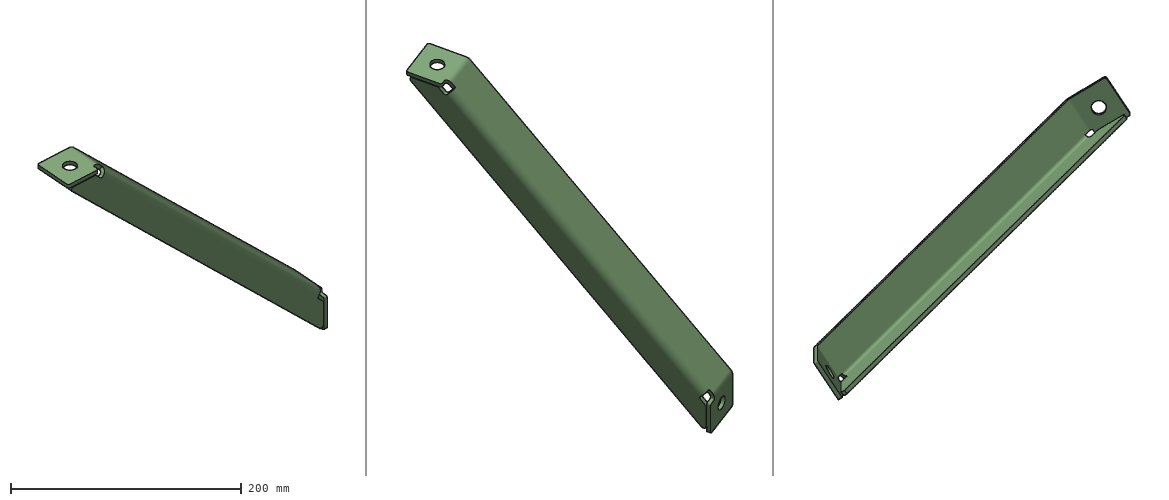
import cadquery as cq
import math

WIDTH = 41.0
SPAN = 300.0
THICKNESS = 4.0

INNER_RADIUS = 3.0
OUTER_RADIUS = INNER_RADIUS + THICKNESS

TAB_LENGTH = 40.0
TAB_CORNER_RADIUS = 2.0
TAB_ROOT_RADIUS = 1.2
HOLE_DIAMETER = 13.0
HOLE_FROM_TAB_END = 20.0

FLANGE_DEPTH = 31.5
FLANGE_END_SETBACK = 4.0
FLANGE_CORNER_RADIUS = 2.0
FLANGE_GAP = 0.8

RELIEF_TAB_START = 35.2
RELIEF_STRAP_END = 7.2
RELIEF_DEPTH = 9.2
RELIEF_CORNER_RADIUS = 2.0

STRAP_SLOPE = math.radians(45)
STRAP_LENGTH = (SPAN - TAB_LENGTH) / math.cos(STRAP_SLOPE)
BEND_START_X = WIDTH - OUTER_RADIUS


def strap_plane(distance):
    """Plane across the strap: local x is +X, local y points out of the outer face."""
    along = distance * math.cos(STRAP_SLOPE)
    return cq.Plane(
        origin=(0, TAB_LENGTH + along, SPAN - along), xDir=(1, 0, 0), normal=(0, -1, 1)
    )


def strap_point(distance, depth):
    """(y, z) at a distance down the strap from its upper corner and a depth below its outer face."""
    y = TAB_LENGTH + (distance - depth) * math.cos(STRAP_SLOPE)
    z = SPAN - (distance + depth) * math.sin(STRAP_SLOPE)
    return y, z


def with_mirror_image(upper_points):
    """Continue (y, z) points of the upper half with their mirror images in the plane y = z."""
    return upper_points + [(z, y) for y, z in reversed(upper_points)]


def swapped_y_and_z(body):
    """Mirror image of a body in the plane y = z."""
    return body.mirror("XY").rotate((0, 0, 0), (1, 0, 0), 90)


def bent_line(offset):
    """Corner points of the tab-strap-tab line at an offset inside the outer faces."""
    corner_y = TAB_LENGTH - offset * math.tan(STRAP_SLOPE / 2)
    return with_mirror_image([(0, SPAN - offset), (corner_y, SPAN - offset)])


def round_corners(body, corners, radius):
    """Round the edges along X that pass through the given (y, z) corners."""
    for y, z in corners:
        nearest = cq.selectors.NearestToPointSelector((body.val().Center().x, y, z))
        body = body.edges("|X").edges(nearest).fillet(radius)
    return body


def make_strap():
    """Sloping strap with both tabs, reaching in X to the start of the flange bend."""
    outer = bent_line(0)
    inner = bent_line(THICKNESS)
    strap = cq.Workplane("YZ").polyline(outer + inner[::-1]).close().extrude(BEND_START_X)
    strap = round_corners(strap, outer[1:-1], OUTER_RADIUS)
    return round_corners(strap, inner[1:-1], INNER_RADIUS)


def make_tab_edge():
    """Strip that widens the upper tab to the full width, rounded at both ends of its relief edge."""
    return (
        cq.Workplane("XY", origin=(0, 0, SPAN - THICKNESS))
        .moveTo(BEND_START_X, 0)
        .lineTo(WIDTH, 0)
        .lineTo(WIDTH, RELIEF_TAB_START - TAB_CORNER_RADIUS)
        .tangentArcPoint((WIDTH - TAB_CORNER_RADIUS, RELIEF_TAB_START), relative=False)
        .lineTo(BEND_START_X + TAB_ROOT_RADIUS, RELIEF_TAB_START)
        .tangentArcPoint((BEND_START_X, RELIEF_TAB_START + TAB_ROOT_RADIUS), relative=False)
        .close()
        .extrude(THICKNESS)
    )


def make_hole():
    """Cutter for the hole through the upper tab."""
    return (
        cq.Workplane("XY", origin=(WIDTH / 2, HOLE_FROM_TAB_END, SPAN - THICKNESS))
        .circle(HOLE_DIAMETER / 2)
        .extrude(THICKNESS)
    )


def make_flange_bend():
    """Quarter bend between the reliefs, from the strap down to the flange web."""
    outer_tangent = BEND_START_X, 0
    web_outer = WIDTH, -OUTER_RADIUS
    web_inner = WIDTH - THICKNESS, -OUTER_RADIUS
    inner_tangent = BEND_START_X, -THICKNESS

    def arc_middle(radius):
        diagonal_step = radius * math.cos(math.radians(45))
        return BEND_START_X + diagonal_step, diagonal_step - OUTER_RADIUS

    return (
        cq.Workplane(strap_plane(STRAP_LENGTH - RELIEF_STRAP_END))
        .moveTo(*outer_tangent)
        .threePointArc(arc_middle(OUTER_RADIUS), web_outer)
        .lineTo(*web_inner)
        .threePointArc(arc_middle(INNER_RADIUS), inner_tangent)
        .close()
        .extrude(STRAP_LENGTH - 2 * RELIEF_STRAP_END)
    )


def make_flange_web():
    """Flat web of the flange, with the reliefs stepped into its upper edge."""
    web_top = SPAN - THICKNESS - FLANGE_GAP
    edge_sum = TAB_LENGTH + SPAN - FLANGE_DEPTH / math.cos(STRAP_SLOPE)
    relief_sum = TAB_LENGTH + SPAN - RELIEF_DEPTH / math.cos(STRAP_SLOPE)
    relief_corner = strap_point(RELIEF_STRAP_END, RELIEF_DEPTH)
    tab_corner = FLANGE_END_SETBACK, web_top
    upper_half = [
        (FLANGE_END_SETBACK, edge_sum - FLANGE_END_SETBACK),
        tab_corner,
        (relief_sum - web_top, web_top),
        relief_corner,
        strap_point(RELIEF_STRAP_END, OUTER_RADIUS),
    ]
    web = (
        cq.Workplane("YZ", origin=(WIDTH - THICKNESS, 0, 0))
        .polyline(with_mirror_image(upper_half))
        .close()
        .extrude(THICKNESS)
    )
    web = round_corners(web, with_mirror_image([tab_corner]), FLANGE_CORNER_RADIUS)
    return round_corners(web, with_mirror_image([relief_corner]), RELIEF_CORNER_RADIUS)


tab_edge = make_tab_edge()
hole = make_hole()
result = (
    make_strap()
    .union(tab_edge)
    .union(swapped_y_and_z(tab_edge))
    .union(make_flange_bend())
    .union(make_flange_web())
    .cut(hole)
    .cut(swapped_y_and_z(hole))
)

result = result.edges("|Z and <Y").fillet(TAB_CORNER_RADIUS)
result = result.edges("|Y and <Z").fillet(TAB_CORNER_RADIUS)